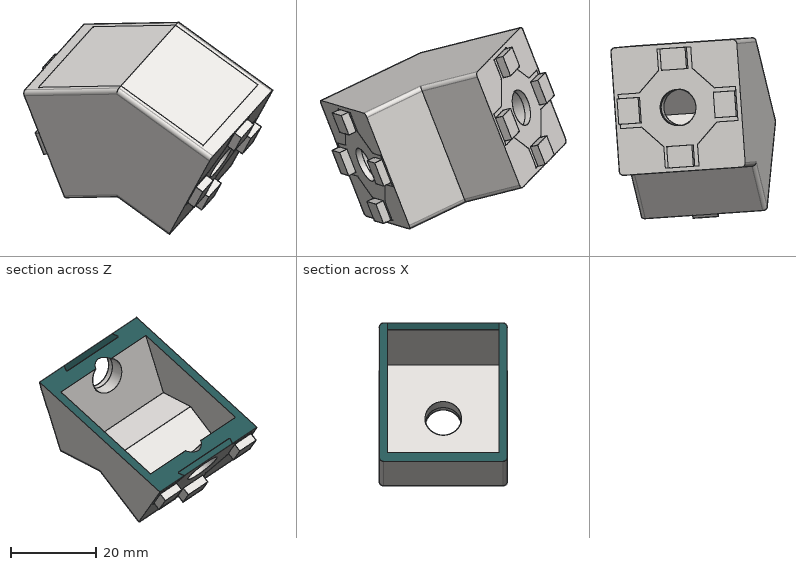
import cadquery as cq
import math


overall_length = 53.5
section = 30.0
arm_slope = math.radians(22.5)
edge_radius = 1.0
end_wall = 5.2
side_wall = 2.0
floor = 2.0

plate_thickness = 1.5
plate_margin = 1.0
plate_arm_width = 8.0
tab_width = 6.0
tab_length = 5.05
tab_height = 2.0
bore_diameter = 8.5

cover_end_margin = 3.4
cover_thickness = 1.5

slope_cos = math.cos(arm_slope)
slope_sin = math.sin(arm_slope)
half_section = section / 2
tip_reach = half_section - plate_margin
tab_inner_reach = tip_reach - tab_length
inner_width = section - 2 * side_wall

arm_length = (overall_length / 2 - tip_reach * slope_sin) / slope_cos - tab_height


def arm_point(along, rise):
    """X and Z of a point on the right arm."""
    return (along * slope_cos + rise * slope_sin, -along * slope_sin + rise * slope_cos)


def bent_prism(low_rise, high_rise, arm_end, width):
    """Both mitred arms between two rises, each ending at arm_end, centred on Y."""
    high_x, high_z = arm_point(arm_end, high_rise)
    low_x, low_z = arm_point(arm_end, low_rise)
    outline = [
        (0, high_rise / slope_cos),
        (high_x, high_z),
        (low_x, low_z),
        (0, low_rise / slope_cos),
        (-low_x, low_z),
        (-high_x, high_z),
    ]
    return cq.Workplane("XZ").polyline(outline).close().extrude(width / 2, both=True)


def end_face():
    """Workplane on the right end face: local x along Y, normal pointing out of the arm."""
    x, z = arm_point(arm_length, 0)
    return cq.Workplane(cq.Plane(origin=(x, 0, z), xDir=(0, 1, 0), normal=(slope_cos, 0, -slope_sin)))


def both_ends(shape):
    """The right-hand shape followed by its mirror image at the left end."""
    return [shape, shape.mirror("YZ")]


def plate_blank():
    """Cross-shaped plate with sloping sides between its four arms, set flush in the end face."""
    half_width = plate_arm_width / 2
    arm_outline = [
        (tab_inner_reach, -half_width),
        (tip_reach, -half_width),
        (tip_reach, half_width),
        (tab_inner_reach, half_width),
    ]
    outline = []
    for quarter in range(4):
        turn = quarter * math.pi / 2
        for x, y in arm_outline:
            turned_x = x * math.cos(turn) - y * math.sin(turn)
            turned_y = x * math.sin(turn) + y * math.cos(turn)
            outline.append((turned_x, turned_y))
    return end_face().polyline(outline).close().extrude(-plate_thickness)


def bore(depth):
    """Round bore running inward from the end face."""
    return end_face().circle(bore_diameter / 2).extrude(-depth)


def make_coupler_plate():
    """Plate with a central bore and a locking tab at the tip of each arm."""
    plate = plate_blank().cut(bore(plate_thickness))
    tab_centre = tip_reach - tab_length / 2
    tabs = (
        end_face()
        .polarArray(tab_centre, 0, 360, 4)
        .rect(tab_length, tab_width)
        .extrude(tab_height)
    )
    return plate.union(tabs)


def make_cover():
    """Bent cover lying flush with the roof."""
    return bent_prism(
        half_section - cover_thickness, half_section, arm_length - cover_end_margin, inner_width
    )


def make_housing():
    """Hollow bent housing with seats for the cover and the coupler plates."""
    body = bent_prism(-half_section, half_section, arm_length, section)
    right_edges = cq.selectors.ParallelDirSelector(cq.Vector(slope_cos, 0, -slope_sin))
    left_edges = cq.selectors.ParallelDirSelector(cq.Vector(slope_cos, 0, slope_sin))
    body = body.edges(right_edges + left_edges).fillet(edge_radius)

    body = body.cut(make_cover())
    cavity = bent_prism(
        floor - half_section, half_section - cover_thickness, arm_length - end_wall, inner_width
    )
    body = body.cut(cavity)

    for plate_seat in both_ends(plate_blank()):
        body = body.cut(plate_seat)
    for end_bore in both_ends(bore(end_wall)):
        body = body.cut(end_bore)
    return body


housing = make_housing()
cover = make_cover()
coupler_plates = both_ends(make_coupler_plate())

result = cq.Compound.makeCompound(
    [housing.val(), cover.val(), *[plate.val() for plate in coupler_plates]]
)